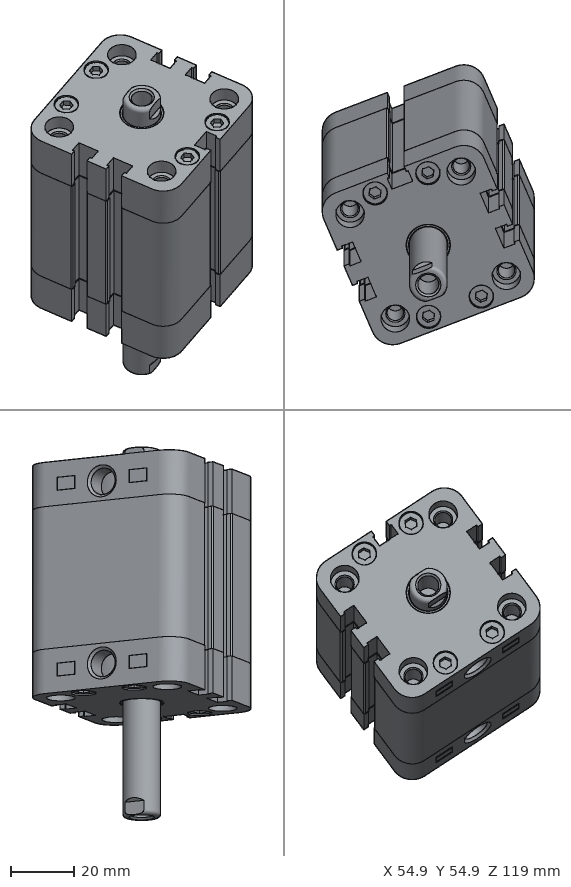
import cadquery as cq


side = 54.9
corner_radius = 6.9
total_length = 119.0
upper_rod_length = 7.0
housing_height = 75.0
lower_rod_length = total_length - housing_height - upper_rod_length
cap_height = 14.4
barrel_height = housing_height - 2 * cap_height

bore_diameter = 40.0
end_wall = 3.0
rod_diameter = 12.0
rod_edge_radius = 1.2
flat_width = 10.0
flat_length = 4.3
thread_diameter = 6.7
thread_mouth_diameter = 8.0
thread_depth = 11.9

opening_diameter = 14.0
opening_inner_diameter = 13.7
opening_depth = 0.2
rod_lead_diameter = 12.5

mount_offset = 19.0
mount_counterbore_diameter = 9.0
mount_counterbore_depth = 5.0
mount_mouth_diameter = 6.1
mount_hole_diameter = 5.2

screw_x = 22.5
screw_y = 9.0
screw_recess_diameter = 7.7
screw_head_diameter = 7.5
screw_head_sink = 0.5
screw_gap_depth = 1.0
screw_hex_across_corners = 4.2
screw_hex_depth = 2.4

port_to_face = 8.0
port_diameter = 8.6
port_mouth_diameter = 10.4
plate_offset = 12.9
plate_width = 6.3
plate_height = 4.2
plate_to_face = 7.4
plate_depth = 0.2

slot_offset = 6.4
cap_slot_depth = 5.6
barrel_slot_depth = 5.4
slot_lip = 1.8
cap_slot_mouth = 5.7
cap_slot_inner = 7.1
barrel_slot_narrowing = 0.2
barrel_lip_chamfer = 0.5


def square_section(height):
    """Rounded square block standing on Z = 0."""
    return cq.Workplane("XY").rect(side, side).extrude(height).edges("|Z").fillet(corner_radius)


def slot_cutter(mouth, inner, depth, chamfer, height):
    """T-slot opening through the +Y face, centred on X = 0."""
    face = side / 2
    cutter = cq.Workplane("XY").box(mouth, depth, height, centered=(True, False, False))
    wide = cq.Workplane("XY").box(inner, depth - slot_lip, height, centered=(True, False, False))
    cutter = cutter.union(wide).translate((0, face - depth, 0))
    if chamfer:
        flare = (
            cq.Workplane("XY")
            .moveTo(-mouth / 2, face - chamfer)
            .lineTo(mouth / 2, face - chamfer)
            .lineTo(mouth / 2 + chamfer, face)
            .lineTo(-mouth / 2 - chamfer, face)
            .close()
            .extrude(height)
        )
        cutter = cutter.union(flare)
    return cutter


def cut_slots(block, mouth, inner, depth, chamfer, height):
    """Cut two slots in each Y side and one slot in the +X side."""
    cutter = slot_cutter(mouth, inner, depth, chamfer, height)
    for x in (-slot_offset, slot_offset):
        upper = cutter.translate((x, 0, 0))
        block = block.cut(upper).cut(upper.mirror("XZ"))
    return block.cut(cutter.rotate((0, 0, 0), (0, 0, 1), -90))


def disc(diameter, z_bottom, height):
    """Cylinder on the Z axis."""
    return cq.Workplane("XY").workplane(offset=z_bottom).circle(diameter / 2).extrude(height)


def funnel(mouth_diameter, throat_diameter):
    """45-degree countersink below Z = 0, wide end up."""
    mouth = mouth_diameter / 2
    throat = throat_diameter / 2
    return cq.Workplane(cq.Solid.makeCone(throat, mouth, mouth - throat)).translate((0, 0, throat - mouth))


def rod_opening_cutter():
    """Stepped opening for the rod, with its outer end at Z = 0."""
    recess = disc(opening_inner_diameter, -opening_depth, opening_depth)
    lead = funnel(rod_lead_diameter, rod_diameter).translate((0, 0, -opening_depth))
    passage = disc(rod_diameter, -cap_height, cap_height)
    return recess.union(funnel(opening_diameter, opening_inner_diameter)).union(lead).union(passage)


def mount_hole_cutter():
    """Counterbored hole through the cap, with its outer end at Z = 0."""
    counterbore = disc(mount_counterbore_diameter, -mount_counterbore_depth, mount_counterbore_depth)
    mouth = funnel(mount_mouth_diameter, mount_hole_diameter).translate((0, 0, -mount_counterbore_depth))
    return counterbore.union(mouth).union(disc(mount_hole_diameter, -cap_height, cap_height))


def screw_cutter():
    """Space above and around a sunk screw head, and its hexagon socket, with the outer end at Z = 0."""
    gap = disc(screw_recess_diameter, -screw_gap_depth, screw_gap_depth)
    gap = gap.cut(disc(screw_head_diameter, -screw_gap_depth, screw_gap_depth - screw_head_sink))
    socket = cq.Workplane("XY").polygon(6, screw_hex_across_corners).extrude(-screw_hex_depth)
    return gap.union(socket.rotate((0, 0, 0), (0, 0, 1), 90))


def port_cutter():
    """Port from the -X face to the bore, with its axis at Z = 0."""
    hole = cq.Workplane("YZ").circle(port_diameter / 2).extrude(-side / 2)
    mouth = funnel(port_mouth_diameter, port_diameter).rotate((0, 0, 0), (0, 1, 0), -90)
    return hole.union(mouth.translate((-side / 2, 0, 0))).cut(disc(bore_diameter, -side / 2, side))


def make_cap():
    """Upper cap, with its joint face at Z = 0."""
    block = square_section(cap_height)
    cap = cut_slots(block, cap_slot_mouth, cap_slot_inner, cap_slot_depth, 0, cap_height)
    cap = cap.cut(disc(bore_diameter, 0, cap_height - end_wall))
    cap = cap.cut(rod_opening_cutter().translate((0, 0, cap_height)))
    for x_sign in (-1, 1):
        for y_sign in (-1, 1):
            mount_place = (x_sign * mount_offset, y_sign * mount_offset, cap_height)
            cap = cap.cut(mount_hole_cutter().translate(mount_place))
            screw_place = (x_sign * screw_x, y_sign * screw_y, cap_height)
            cap = cap.cut(screw_cutter().translate(screw_place))
    cap = cap.cut(port_cutter().translate((0, 0, cap_height - port_to_face)))
    for y in (-plate_offset, plate_offset):
        plate = cq.Workplane("XY").box(2 * plate_depth, plate_width, plate_height)
        cap = cap.cut(plate.translate((-side / 2, y, cap_height - plate_to_face)))
    return cap


def make_barrel():
    """Profiled tube between the caps."""
    mouth = cap_slot_mouth - 2 * barrel_slot_narrowing
    inner = cap_slot_inner - 2 * barrel_slot_narrowing
    block = square_section(barrel_height)
    barrel = cut_slots(block, mouth, inner, barrel_slot_depth, barrel_lip_chamfer, barrel_height)
    return barrel.cut(disc(bore_diameter, 0, barrel_height)).translate((0, 0, cap_height))


def make_piston():
    """Cylinder filling the bore around the rod, in sight through the ports."""
    piston_height = housing_height - 2 * end_wall
    piston = disc(bore_diameter, end_wall, piston_height)
    return piston.cut(disc(rod_diameter, end_wall, piston_height))


def rod_end_cutter():
    """Two wrench flats with sloped ends and a threaded hole, for a rod end at Z = 0."""
    flat = flat_width / 2
    outside = rod_diameter / 2
    slope = outside - flat
    flat_cut = (
        cq.Workplane("XZ")
        .moveTo(flat, 0)
        .lineTo(flat, -flat_length)
        .lineTo(outside, -flat_length - slope)
        .lineTo(outside, 0)
        .close()
        .extrude(outside, both=True)
    )
    mouth = funnel(thread_mouth_diameter, thread_diameter)
    hole = disc(thread_diameter, -thread_depth, thread_depth)
    return flat_cut.union(flat_cut.mirror("YZ")).union(mouth).union(hole)


def make_rod():
    """Through rod with the same shape at both ends."""
    top = housing_height + upper_rod_length
    rod = disc(rod_diameter, -lower_rod_length, total_length)
    rod = rod.faces(">Z or <Z").edges().fillet(rod_edge_radius)
    rod = rod.cut(rod_end_cutter().translate((0, 0, top)))
    return rod.cut(rod_end_cutter().mirror("XY").translate((0, 0, -lower_rod_length)))


cap = make_cap()
upper_cap = cap.translate((0, 0, housing_height - cap_height))
lower_cap = cap.mirror("XY").translate((0, 0, cap_height))
barrel = make_barrel()
piston = make_piston()
rod = make_rod()

result = cq.Compound.makeCompound(
    [upper_cap.val(), lower_cap.val(), barrel.val(), piston.val(), rod.val()]
)